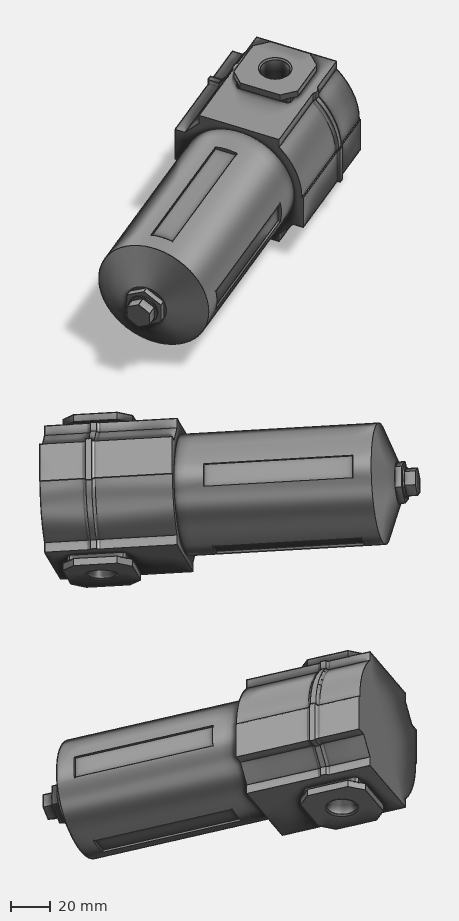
import cadquery as cq
import math


HEAD_HALF_HEIGHT = 33.5
NECK_HALF_WIDTH = 22.2
NECK_CORNER_Z = 28.4
LOBE_HALF_WIDTH = 35.7
LOBE_TOP_Z = 19.5
LOBE_INNER_X = 30.0
ARC_HALF_WIDTH = 35.0
HEAD_LENGTH = 67.8

PORT_DEPTH = 25.2
BAND_PROTRUSION = 1.1
BAND_WIDTH = 2.8
COVE_RADIUS = 1.7
COVE_OVERSIZE = 0.2

PORT_FACE_Z = 40.0
FLANGE_SIZE = 35.7
FLANGE_THICKNESS = 3.7
FLANGE_CHAMFER = 6.7
STEM_SIZE = 30.0
STEM_CHAMFER = 1.3
BORE_DIAMETER = 15.1
BORE_MOUTH_DIAMETER = 16.8
BORE_DEPTH = 15.0

BOWL_RADIUS = 30.6
BOWL_END_DEPTH = 168.5
CONE_END_DEPTH = 177.0
WINDOW_START_DEPTH = 82.9
WINDOW_END_DEPTH = 159.0
WINDOW_WIDTH = 12.0
WINDOW_RECESS = 1.9

NUT_CORNER_RADIUS = 11.0
NUT_END_DEPTH = 180.4
COLLAR_RADIUS = 7.8
COLLAR_END_DEPTH = 181.3
STUD_CORNER_RADIUS = 7.3
TOTAL_LENGTH = 186.7

TOLERANCE = 0.002


def at_depth(depth):
    """Sketch plane across the axis; extrusions run toward -Y."""
    return cq.Workplane("XZ", origin=(0, -depth, 0))


def side_arc_middle():
    """Middle point of the head's round side (for +X, +Z), which meets the X axis at a right angle."""
    run = ARC_HALF_WIDTH - NECK_HALF_WIDTH
    radius = (run**2 + NECK_CORNER_Z**2) / (2 * run)
    half_sweep = math.asin(NECK_CORNER_Z / radius) / 2
    centre_x = ARC_HALF_WIDTH - radius
    return centre_x + radius * math.cos(half_sweep), radius * math.sin(half_sweep)


def head_outline(depth):
    """Closed outline, unchanged by half a turn about the axis."""
    arc_x, arc_z = side_arc_middle()
    outline = at_depth(depth).moveTo(-NECK_HALF_WIDTH, HEAD_HALF_HEIGHT)
    for side in (-1, 1):
        outline = (
            outline.lineTo(side * NECK_HALF_WIDTH, -side * NECK_CORNER_Z)
            .lineTo(side * LOBE_INNER_X, -side * LOBE_TOP_Z)
            .lineTo(side * LOBE_HALF_WIDTH, -side * LOBE_TOP_Z)
            .lineTo(side * LOBE_HALF_WIDTH, 0)
            .lineTo(side * ARC_HALF_WIDTH, 0)
            .threePointArc(
                (side * arc_x, side * arc_z),
                (side * NECK_HALF_WIDTH, side * NECK_CORNER_Z),
            )
            .lineTo(side * NECK_HALF_WIDTH, side * HEAD_HALF_HEIGHT)
            .lineTo(-side * NECK_HALF_WIDTH, side * HEAD_HALF_HEIGHT)
        )
    return outline.close()


def enlarged_head(margin, depth, length):
    """Prism whose sides stand out from the head by the margin, with its flat top and bottom flush."""
    prism = head_outline(depth).offset2D(margin, "intersection").extrude(length)
    flush_slab = cq.Workplane("XY").box(
        4 * LOBE_HALF_WIDTH, 2 * TOTAL_LENGTH, 2 * HEAD_HALF_HEIGHT
    )
    return prism.intersect(flush_slab)


def banded_head():
    """Head with its band: coves on an over-tall band, then trimmed to the band's true height."""
    band_start = PORT_DEPTH - BAND_WIDTH / 2
    tall_band = enlarged_head(COVE_RADIUS + COVE_OVERSIZE, band_start, BAND_WIDTH)
    core = head_outline(0).extrude(HEAD_LENGTH)
    core_sides = cq.Compound.makeCompound(core.faces("not |Y").vals())

    def is_band_root(edge):
        middle = edge.positionAt(0.5)
        off_band_plane = abs(abs(middle.y + PORT_DEPTH) - BAND_WIDTH / 2)
        off_top = HEAD_HALF_HEIGHT - abs(middle.z)
        off_sides = core_sides.distance(cq.Vertex.makeVertex(*middle.toTuple()))
        return off_band_plane < TOLERANCE and off_top > TOLERANCE and off_sides < TOLERANCE

    coved = core.union(tall_band).edges().filter(is_band_root).fillet(COVE_RADIUS)
    return coved.intersect(enlarged_head(BAND_PROTRUSION, 0, HEAD_LENGTH))


def port_plane(z):
    """Horizontal sketch plane centred on the port axis."""
    return cq.Workplane("XY", origin=(0, -PORT_DEPTH, z))


def port_boss():
    """Octagonal flange on a chamfered square stem, on top of the head."""
    flange_z = PORT_FACE_Z - FLANGE_THICKNESS
    stem = (
        port_plane(HEAD_HALF_HEIGHT)
        .rect(STEM_SIZE, STEM_SIZE)
        .extrude(flange_z - HEAD_HALF_HEIGHT)
        .edges("|Z")
        .chamfer(STEM_CHAMFER)
    )
    flange = (
        port_plane(flange_z)
        .rect(FLANGE_SIZE, FLANGE_SIZE)
        .extrude(FLANGE_THICKNESS)
        .edges("|Z")
        .chamfer(FLANGE_CHAMFER)
    )
    return stem.union(flange)


def port_bore():
    """Blind hole down from the flange face, with a chamfered mouth."""
    bore = port_plane(PORT_FACE_Z).circle(BORE_DIAMETER / 2).extrude(-BORE_DEPTH)
    mouth_depth = (BORE_MOUTH_DIAMETER - BORE_DIAMETER) / 2
    mouth = (
        port_plane(PORT_FACE_Z)
        .circle(BORE_MOUTH_DIAMETER / 2)
        .workplane(offset=-mouth_depth)
        .circle(BORE_DIAMETER / 2)
        .loft()
    )
    return bore.union(mouth)


def make_head():
    """Banded head with matching ports on its top and bottom."""
    head = banded_head()
    boss = port_boss()
    bore = port_bore()
    for turn in (0, 180):
        head = head.union(boss.rotate((0, 0, 0), (0, 1, 0), turn))
        head = head.cut(bore.rotate((0, 0, 0), (0, 1, 0), turn))
    return head


def make_bowl():
    """Solid round bowl with a conical end and four flat recessed windows."""
    barrel = at_depth(HEAD_LENGTH).circle(BOWL_RADIUS).extrude(BOWL_END_DEPTH - HEAD_LENGTH)
    cone = (
        at_depth(BOWL_END_DEPTH)
        .circle(BOWL_RADIUS)
        .workplane(offset=CONE_END_DEPTH - BOWL_END_DEPTH)
        .circle(NUT_CORNER_RADIUS)
        .loft()
    )
    bowl = barrel.union(cone)
    window = cq.Workplane("XY").box(
        WINDOW_WIDTH,
        WINDOW_END_DEPTH - WINDOW_START_DEPTH,
        BOWL_RADIUS,
        centered=(True, True, False),
    ).translate((0, -(WINDOW_START_DEPTH + WINDOW_END_DEPTH) / 2, BOWL_RADIUS - WINDOW_RECESS))
    for turn in (0, 90, 180, 270):
        bowl = bowl.cut(window.rotate((0, 0, 0), (0, 1, 0), turn))
    return bowl


def hexagon_bar(corner_radius, start, end):
    """Hexagonal bar along the axis, with corners at top and bottom."""
    profile = at_depth(start).transformed(rotate=(0, 0, 90)).polygon(6, 2 * corner_radius)
    return profile.extrude(end - start)


def make_drain_plug():
    """Hexagon nut, round collar and hexagon stud at the tip of the bowl."""
    nut = hexagon_bar(NUT_CORNER_RADIUS, CONE_END_DEPTH, NUT_END_DEPTH)
    collar = at_depth(NUT_END_DEPTH).circle(COLLAR_RADIUS).extrude(COLLAR_END_DEPTH - NUT_END_DEPTH)
    stud = hexagon_bar(STUD_CORNER_RADIUS, COLLAR_END_DEPTH, TOTAL_LENGTH)
    return nut.union(collar).union(stud)


head = make_head()
bowl = make_bowl()
drain_plug = make_drain_plug()

result = cq.Compound.makeCompound([body.solids().val() for body in (head, bowl, drain_plug)])